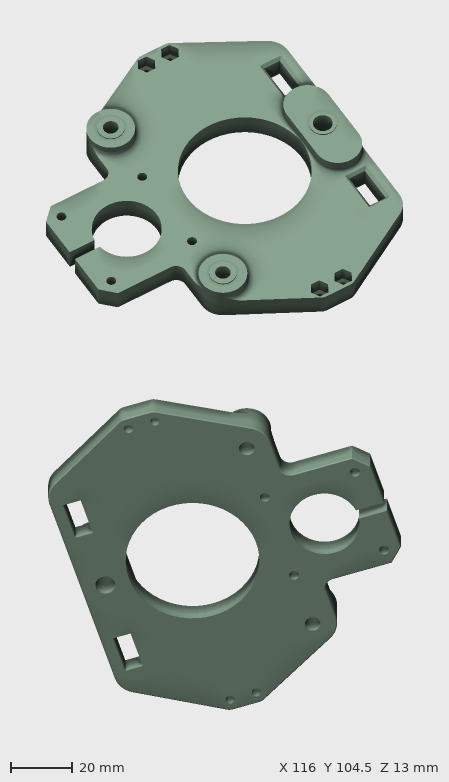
import cadquery as cq
import math

plate_width = 116.0
plate_height = 8.0
boss_height = 12.5
total_height = 13.0
bottom_chamfer = 0.3

corner_radius = 8.0
upper_corner_x = 34.8
boss_x = 35.0
boss_y = 30.0
upper_side_angle = math.radians(60)
lower_side_angle = math.radians(61)
side_corner_fillet = 3.5
half_width = plate_width / 2
edge_y = boss_y + corner_radius
upper_apex_x = upper_corner_x + corner_radius * math.tan(upper_side_angle / 2)
lower_apex_x = boss_x + corner_radius * math.tan(lower_side_angle / 2)
upper_side_y = edge_y - (half_width - upper_apex_x) * math.tan(upper_side_angle)
lower_side_y = -edge_y + (half_width - lower_apex_x) * math.tan(lower_side_angle)
large_bore_radius = 21.9

motor_y = -45.5
tab_half_width = 21.0
tab_chamfer = 4.6
tab_inner_fillet = 3.5
motor_bore_radius = 11.5
motor_hole_offset = 15.5
motor_hole_radius = 1.6
clamp_slot_width = 3.2

boss_fillet = 2.0
flare_root = 2.3
oval_half_spacing = 9.4
oval_fillet = 1.0
collar_radius = 4.5
boss_hole_radius = 2.5
oval_hole_radius = 3.2

window_x = 26.6
window_y = 30.9
window_length = 13.0
window_width = 6.0
window_chamfer = 1.0

nut_x = 54.0
nut_y = 4.5
nut_across_flats = 5.7
nut_depth = 5.0
nut_hole_radius = 1.5


def cylinder(x, y, radius, bottom, top):
    return cq.Workplane("XY", origin=(x, y, bottom)).circle(radius).extrude(top - bottom)


def sharp_body(height):
    """Eight-cornered prism with sharp corners and sloping sides."""
    return (
        cq.Workplane("XY")
        .polyline(
            [
                (-upper_apex_x, edge_y),
                (upper_apex_x, edge_y),
                (half_width, upper_side_y),
                (half_width, lower_side_y),
                (lower_apex_x, -edge_y),
                (-lower_apex_x, -edge_y),
                (-half_width, lower_side_y),
                (-half_width, upper_side_y),
            ]
        )
        .close()
        .extrude(height)
    )


def outline_plate():
    """Plate with rounded corners, joined to the motor tab."""
    body = sharp_body(plate_height)
    body = body.edges("|Z and (>Y or <Y)").fillet(corner_radius)
    side_corners = cq.selectors.BoxSelector(
        (-plate_width, 2 * lower_side_y, 0), (plate_width, 2 * upper_side_y, plate_height)
    )
    body = body.edges("|Z").edges(side_corners).fillet(side_corner_fillet)

    tab = (
        cq.Workplane("XY")
        .center(0, motor_y)
        .rect(2 * tab_half_width, 2 * tab_half_width)
        .extrude(plate_height)
        .edges("|Z and <Y")
        .chamfer(tab_chamfer)
    )
    inner_corners = cq.selectors.BoxSelector(
        (-tab_half_width - 1.2, -edge_y - 1.2, 0), (tab_half_width + 1.2, -edge_y + 1.2, plate_height)
    )
    return body.union(tab).edges("|Z").edges(inner_corners).fillet(tab_inner_fillet)


def flare_profile(workplane, fillet):
    """Half section of a boss skirt, sunk into the plate, with its arc facing outward."""
    outer = corner_radius + fillet
    middle = fillet * (1 - math.sqrt(0.5))
    return (
        workplane.moveTo(0, -flare_root)
        .lineTo(outer, -flare_root)
        .lineTo(outer, 0)
        .threePointArc((corner_radius + middle, middle), (corner_radius, fillet))
        .lineTo(0, fillet)
        .close()
    )


def boss_flare(x, y, fillet, start_angle, sweep):
    """Concave skirt around a boss, swept from start_angle (degrees from +X)."""
    return (
        flare_profile(cq.Workplane("XZ"), fillet)
        .revolve(sweep, (0, 0), (0, 1))
        .rotate((0, 0, 0), (0, 0, 1), start_angle)
        .translate((x, y, plate_height))
    )


plate = outline_plate().faces("<Z").edges().chamfer(bottom_chamfer)

corner_turn = math.degrees(lower_side_angle)
round_sweep = 360 - corner_turn
flares = [
    boss_flare(boss_x, -boss_y, boss_fillet, corner_turn - 90, round_sweep),
    boss_flare(-boss_x, -boss_y, boss_fillet, -90, round_sweep),
    boss_flare(oval_half_spacing, boss_y, oval_fillet, -90, 180),
    boss_flare(-oval_half_spacing, boss_y, oval_fillet, 90, 180),
    flare_profile(cq.Workplane("YZ"), oval_fillet)
    .extrude(2 * oval_half_spacing)
    .rotate((0, 0, 0), (0, 0, 1), 180)
    .translate((oval_half_spacing, boss_y, plate_height)),
]
for flare in flares:
    plate = plate.union(flare.intersect(sharp_body(boss_height)))

oval_boss = (
    cq.Workplane("XY", origin=(0, boss_y, plate_height - flare_root))
    .slot2D(2 * (oval_half_spacing + corner_radius), 2 * corner_radius)
    .extrude(boss_height - plate_height + flare_root)
)
plate = plate.union(oval_boss)
for side_x in (-1, 1):
    plate = plate.union(cylinder(side_x * boss_x, -boss_y, corner_radius, bottom_chamfer, boss_height))
boss_holes = [
    (-boss_x, -boss_y, boss_hole_radius),
    (boss_x, -boss_y, boss_hole_radius),
    (0, boss_y, oval_hole_radius),
]
for x, y, hole_radius in boss_holes:
    plate = plate.union(cylinder(x, y, collar_radius, plate_height, total_height))
    plate = plate.cut(cylinder(x, y, hole_radius, 0, total_height))

plate = plate.cut(cylinder(0, 0, large_bore_radius, 0, total_height))
plate = plate.cut(cylinder(0, motor_y, motor_bore_radius, 0, total_height))
clamp_slot = (
    cq.Workplane("XY")
    .center(0, motor_y - tab_half_width / 2)
    .rect(clamp_slot_width, tab_half_width)
    .extrude(plate_height)
)
plate = plate.cut(clamp_slot)

for side_x in (-1, 1):
    for side_y in (-1, 1):
        hole_x = side_x * motor_hole_offset
        hole_y = motor_y + side_y * motor_hole_offset
        plate = plate.cut(cylinder(hole_x, hole_y, motor_hole_radius, 0, plate_height))

for side_x in (-1, 1):
    centre_x = side_x * window_x
    window = (
        cq.Workplane("XY", origin=(centre_x, window_y, 0))
        .rect(window_length, window_width)
        .extrude(plate_height)
    )
    rim = (
        cq.Workplane("XY", origin=(centre_x, window_y, plate_height))
        .rect(window_length + 2 * window_chamfer, window_width + 2 * window_chamfer)
        .workplane(offset=-window_chamfer)
        .rect(window_length, window_width)
        .loft()
    )
    plate = plate.cut(window).cut(rim)

nut_across_corners = nut_across_flats / math.cos(math.pi / 6)
for side_x in (-1, 1):
    for side_y in (-1, 1):
        nut_centre = (side_x * nut_x, side_y * nut_y)
        pocket = (
            cq.Workplane("XY", origin=(*nut_centre, plate_height))
            .transformed(rotate=(0, 0, 30))
            .polygon(6, nut_across_corners)
            .extrude(-nut_depth)
        )
        plate = plate.cut(pocket).cut(cylinder(*nut_centre, nut_hole_radius, 0, plate_height))

result = plate